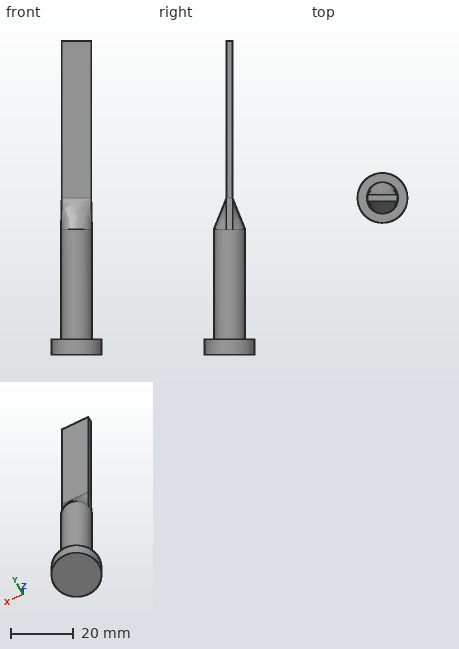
import cadquery as cq
import math

total_height = 100.0
head_diameter = 16.0
head_height = 5.0
shank_diameter = 10.0
shank_top = 40.0
blade_bottom = 50.0
blade_width = 9.5
blade_thickness = 2.0

shank_radius = shank_diameter / 2
half_width = blade_width / 2
half_thickness = blade_thickness / 2


def make_head():
    return cq.Workplane("XY").circle(head_diameter / 2).extrude(head_height)


def make_shank():
    shank = cq.Workplane("XY").workplane(offset=head_height)
    return shank.circle(shank_radius).extrude(shank_top - head_height)


def make_transition():
    """Ruled loft from the round shank to the rectangular blade."""
    split_x = math.sqrt(shank_radius**2 - half_thickness**2)
    return (
        cq.Workplane("XY")
        .workplane(offset=shank_top)
        .moveTo(-split_x, -half_thickness)
        .threePointArc((0, -shank_radius), (split_x, -half_thickness))
        .threePointArc((shank_radius, 0), (split_x, half_thickness))
        .threePointArc((0, shank_radius), (-split_x, half_thickness))
        .threePointArc((-shank_radius, 0), (-split_x, -half_thickness))
        .close()
        .workplane(offset=blade_bottom - shank_top)
        .moveTo(-half_width, -half_thickness)
        .lineTo(half_width, -half_thickness)
        .lineTo(half_width, half_thickness)
        .lineTo(-half_width, half_thickness)
        .close()
        .loft(ruled=True)
    )


def make_blade():
    blade = cq.Workplane("XY").workplane(offset=blade_bottom)
    return blade.rect(blade_width, blade_thickness).extrude(total_height - blade_bottom)


result = make_head().union(make_shank()).union(make_transition()).union(make_blade())